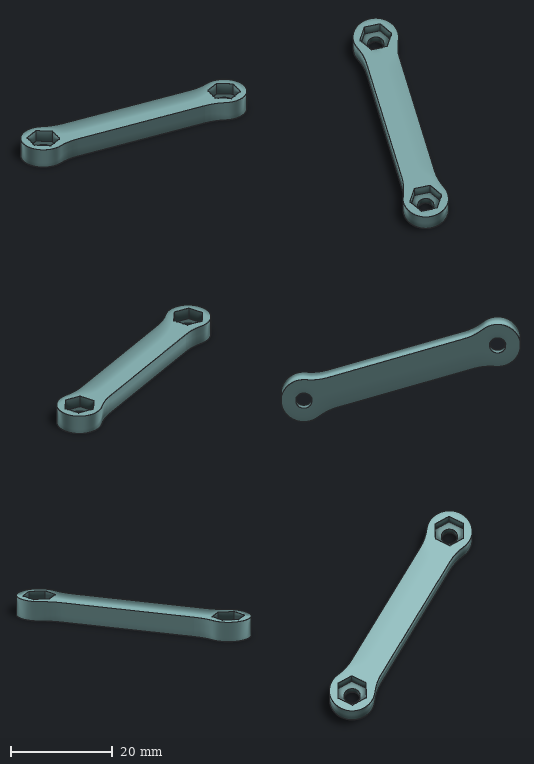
import cadquery as cq
import math

length = 48.95
thickness = 4.0
end_diameter = 9.0
bar_width = 6.65
neck_radius = 10.75

hole_diameter = 3.2
nut_across_flats = 5.6
nut_depth = 2.4

end_radius = end_diameter / 2
half_width = bar_width / 2
end_center_y = length / 2 - end_radius
end_centers = [(0, -end_center_y), (0, end_center_y)]

neck_center_x = half_width + neck_radius
center_distance = end_radius + neck_radius
neck_length = math.sqrt(center_distance**2 - neck_center_x**2)
neck_start_y = end_center_y - neck_length
neck_end_x = neck_center_x * end_radius / center_distance
neck_end_y = end_center_y - neck_length * end_radius / center_distance
half_angle = math.atan2(neck_length, neck_center_x) / 2
neck_mid_x = neck_center_x - neck_radius * math.cos(half_angle)
neck_mid_y = neck_start_y + neck_radius * math.sin(half_angle)


def make_body():
    """Flat bar flaring through concave necks into two round ends."""
    return (
        cq.Workplane("XY")
        .moveTo(half_width, -neck_start_y)
        .lineTo(half_width, neck_start_y)
        .threePointArc((neck_mid_x, neck_mid_y), (neck_end_x, neck_end_y))
        .threePointArc((0, length / 2), (-neck_end_x, neck_end_y))
        .threePointArc((-neck_mid_x, neck_mid_y), (-half_width, neck_start_y))
        .lineTo(-half_width, -neck_start_y)
        .threePointArc((-neck_mid_x, -neck_mid_y), (-neck_end_x, -neck_end_y))
        .threePointArc((0, -length / 2), (neck_end_x, -neck_end_y))
        .threePointArc((neck_mid_x, -neck_mid_y), (half_width, -neck_start_y))
        .close()
        .extrude(thickness)
    )


def make_holes():
    """Round holes through the full thickness."""
    return cq.Workplane("XY").pushPoints(end_centers).circle(hole_diameter / 2).extrude(thickness)


def make_nut_pockets():
    """Hexagonal pockets open at the top, with corners pointing along X."""
    across_corners = nut_across_flats / math.cos(math.pi / 6)
    return (
        cq.Workplane("XY")
        .workplane(offset=thickness - nut_depth)
        .pushPoints(end_centers)
        .polygon(6, across_corners)
        .extrude(nut_depth)
    )


result = make_body().cut(make_holes()).cut(make_nut_pockets())